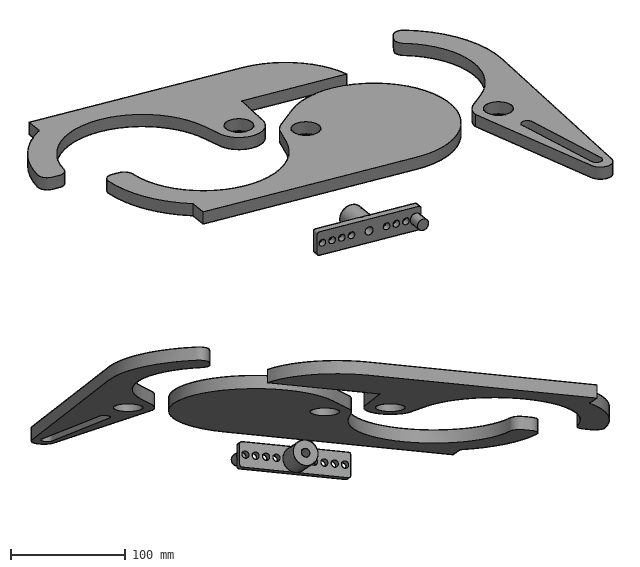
import cadquery as cq
import math

plate_thickness = 12.0
pivot_hole_diameter = 26.0
jaw_inner_radius = 75.3
jaw_outer_radius = 101.0
pivot_boss_radius = 23.0
pivot_distance = 100.5
boss_lean = math.degrees(math.acos((jaw_inner_radius + pivot_boss_radius) / pivot_distance))
tip_fillet = 9.5

right_jaw_center = (123.5, 149.0)
left_jaw_center = (101.0, 101.0)
pivot_offset_x = 5.5
body_center = (25.0, 158.0)
body_radius = 76.0
straight_edge_x = body_center[0] + body_radius
ledge_y = -57.0
tip_x = -1.0
notch_corner = (45.5, 125.5)

arm_jaw_center = (92.0, 364.0)
arm_pivot_angle = 30.6
arm_tip_angle = 154.0
arm_end_center = (311.0, 443.0)
arm_end_radius = 11.0
slot_start = (216.0, 423.0)
slot_end = (306.0, 442.0)
slot_width = 11.0

bar_x = 311.0
bar_thickness = 7.0
bar_length = 104.5
bar_height = 23.0
bar_corner_radius = 2.5
bar_center_y = 206.5
hub_diameter = 23.0
hub_length = 25.0
hub_bore_diameter = 8.0
bar_hole_diameter = 6.5
bar_hole_pitch = 9.8
first_hole_offset = 17.5
holes_per_side = 4
pin_diameter = 11.0
pin_length = 13.0
pin_offset = first_hole_offset + (holes_per_side - 1) * bar_hole_pitch


def polar(center, radius, angle):
    """Point on a circle, with the angle in degrees."""
    a = math.radians(angle)
    return (center[0] + radius * math.cos(a), center[1] + radius * math.sin(a))


def direction(start, end):
    """Angle in degrees of the line from start to end."""
    return math.degrees(math.atan2(end[1] - start[1], end[0] - start[0]))


def tangent_angle(center_a, radius_a, center_b, radius_b, side):
    """Angle of the radii meeting the common outer tangent; side +1 is left of a to b, -1 right."""
    lean = math.degrees(math.acos((radius_a - radius_b) / math.dist(center_a, center_b)))
    return direction(center_a, center_b) + side * lean


def arc_to(outline, center, radius, start_angle, end_angle):
    """Continue the outline along a circle."""
    middle = polar(center, radius, (start_angle + end_angle) / 2)
    return outline.threePointArc(middle, polar(center, radius, end_angle))


def inner_edge(center, tip_angle, pivot_angle):
    """Start an outline at the tip and follow the jaw arc and short tangent to the pivot boss."""
    pivot = polar(center, pivot_distance, pivot_angle)
    outline = cq.Workplane("XY").moveTo(*polar(center, jaw_inner_radius, tip_angle))
    join_angle = pivot_angle + math.copysign(boss_lean, tip_angle - pivot_angle)
    outline = arc_to(outline, center, jaw_inner_radius, tip_angle, join_angle)
    return outline.lineTo(*polar(pivot, pivot_boss_radius, join_angle + 180)), join_angle + 180


def finish_plate(outline, tip_points, pivot):
    """Extrude a closed outline, round its tip corners and drill its pivot hole."""
    plate = outline.close().extrude(plate_thickness / 2, both=True)
    for x, y in tip_points:
        plate = plate.edges(cq.selectors.NearestToPointSelector((x, y, 0))).fillet(tip_fillet)
    hole = cq.Workplane("XY").center(*pivot).circle(pivot_hole_diameter / 2)
    return plate.cut(hole.extrude(plate_thickness, both=True))


jaw_origin = (0, 0)
jaw_pivot = (pivot_offset_x, math.sqrt(pivot_distance**2 - pivot_offset_x**2))
jaw_pivot_angle = direction(jaw_origin, jaw_pivot)
tip_inner = (tip_x, -math.sqrt(jaw_inner_radius**2 - tip_x**2))
tip_outer = (tip_x, -math.sqrt(jaw_outer_radius**2 - tip_x**2))
ledge_inner = (math.sqrt(jaw_outer_radius**2 - ledge_y**2), ledge_y)


def finish_jaw(outline):
    """Follow the straight edge, ledge and outer arc back to the tip."""
    outline = outline.lineTo(straight_edge_x, ledge_y).lineTo(*ledge_inner)
    outline = arc_to(outline, jaw_origin, jaw_outer_radius,
                     direction(jaw_origin, ledge_inner), direction(jaw_origin, tip_outer))
    return finish_plate(outline, (tip_inner, tip_outer), jaw_pivot)


def make_right_jaw():
    """Jaw plate with a full round head."""
    side_angle = tangent_angle(jaw_pivot, pivot_boss_radius, body_center, body_radius, 1)
    outline, boss_start = inner_edge(jaw_origin, direction(jaw_origin, tip_inner), jaw_pivot_angle)
    outline = arc_to(outline, jaw_pivot, pivot_boss_radius, boss_start, side_angle)
    outline = outline.lineTo(*polar(body_center, body_radius, side_angle))
    outline = arc_to(outline, body_center, body_radius, side_angle, 0)
    return finish_jaw(outline).translate((*right_jaw_center, 0))


def make_left_jaw():
    """Mirrored jaw plate whose head is notched beside the pivot boss."""
    boss_top_angle = 90
    notch_angle = math.degrees(math.acos((notch_corner[0] - body_center[0]) / body_radius))
    outline, boss_start = inner_edge(jaw_origin, direction(jaw_origin, tip_inner), jaw_pivot_angle)
    outline = arc_to(outline, jaw_pivot, pivot_boss_radius, boss_start, boss_top_angle)
    outline = outline.lineTo(*notch_corner).lineTo(*polar(body_center, body_radius, notch_angle))
    outline = arc_to(outline, body_center, body_radius, notch_angle, 0)
    return finish_jaw(outline).mirror("YZ").translate((*left_jaw_center, 0))


def make_arm():
    """Hooked arm tapering to a slotted end."""
    pivot = polar(arm_jaw_center, pivot_distance, arm_pivot_angle)
    inner_tip = polar(arm_jaw_center, jaw_inner_radius, arm_tip_angle)
    outer_tip = polar(arm_jaw_center, jaw_outer_radius, arm_tip_angle)
    boss_bottom_angle = 270
    boss_bottom = polar(pivot, pivot_boss_radius, boss_bottom_angle)
    lower_angle = tangent_angle(boss_bottom, 0, arm_end_center, arm_end_radius, -1)
    upper_angle = tangent_angle(arm_jaw_center, jaw_outer_radius, arm_end_center, arm_end_radius, 1)

    outline, boss_start = inner_edge(arm_jaw_center, arm_tip_angle, arm_pivot_angle)
    outline = arc_to(outline, pivot, pivot_boss_radius, boss_start, boss_bottom_angle)
    outline = outline.lineTo(*polar(arm_end_center, arm_end_radius, lower_angle))
    outline = arc_to(outline, arm_end_center, arm_end_radius, lower_angle, upper_angle)
    outline = outline.lineTo(*polar(arm_jaw_center, jaw_outer_radius, upper_angle))
    outline = arc_to(outline, arm_jaw_center, jaw_outer_radius, upper_angle, arm_tip_angle)
    arm = finish_plate(outline, (inner_tip, outer_tip), pivot)

    slot_middle = ((slot_start[0] + slot_end[0]) / 2, (slot_start[1] + slot_end[1]) / 2)
    slot_length = math.dist(slot_start, slot_end) + slot_width
    slot = cq.Workplane("XY").center(*slot_middle).slot2D(slot_length, slot_width, direction(slot_start, slot_end))
    return arm.cut(slot.extrude(plate_thickness, both=True))


def make_crank():
    """Upright bar with a bored hub and a row of holes on each side of it."""
    bar_plane = cq.Workplane("YZ", origin=(bar_x, bar_center_y, 0))
    bar = bar_plane.rect(bar_length, bar_height).extrude(bar_thickness)
    bar = bar.edges("|X").fillet(bar_corner_radius)
    crank = bar.union(bar_plane.circle(hub_diameter / 2).extrude(-hub_length))
    bore = bar_plane.circle(hub_bore_diameter / 2).extrude(hub_length + bar_thickness, both=True)
    offsets = [side * (first_hole_offset + i * bar_hole_pitch) for side in (-1, 1) for i in range(holes_per_side)]
    holes = bar_plane.pushPoints([(y, 0) for y in offsets]).circle(bar_hole_diameter / 2).extrude(bar_thickness)
    return crank.cut(bore).cut(holes)


def make_pin():
    """Crank pin standing on the bar face over its outermost hole."""
    pin_plane = cq.Workplane("YZ", origin=(bar_x + bar_thickness, bar_center_y + pin_offset, 0))
    return pin_plane.circle(pin_diameter / 2).extrude(pin_length)


right_jaw = make_right_jaw()
left_jaw = make_left_jaw()
arm = make_arm()
crank = make_crank()
pin = make_pin()

result = cq.Compound.makeCompound([right_jaw.val(), left_jaw.val(), arm.val(), crank.val(), pin.val()])